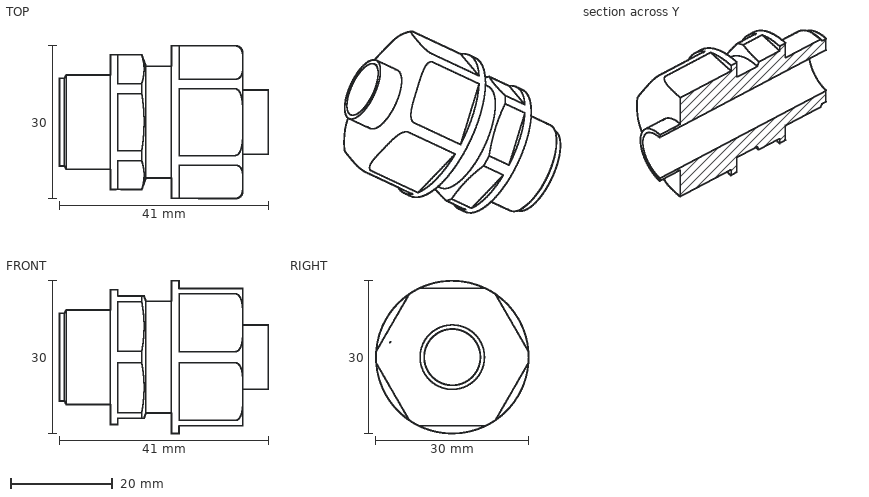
import cadquery as cq
import math

tip_end_x = 1.0
collar_start_x = 10.0
collar_width = 1.5
hex_end_x = 17.0
nut_start_x = 22.0
nut_end_x = 36.0
total_length = 41.0

bore_diameter = 11.0
tube_diameter = 12.65
tip_diameter = 17.26
thread_diameter = 18.6
neck_diameter = 22.0
collar_diameter = 26.5
nut_diameter = 30.0

hex_across_flats = 24.0
nut_across_flats = 27.0
corner_to_flat_angle = 30.0

thread_lead_angle = 30.0
hex_chamfer_angle = 20.0
nut_edge_radius = 1.45

overlap = 1.0


def cone_length(large_diameter, small_diameter, angle):
    """Axial length of a cone whose side leans from the end plane by the given angle in degrees."""
    return (large_diameter - small_diameter) / 2 * math.tan(math.radians(angle))


def cylinder(start_x, end_x, diameter):
    """Solid cylinder on the X axis."""
    return cq.Workplane("YZ", origin=(start_x, 0, 0)).circle(diameter / 2).extrude(end_x - start_x)


def cut_flats(body, start_x, end_x, across_flats, body_diameter):
    """Cut six wrench flats, two of them facing +Z and -Z, leaving the corners round."""
    length = end_x - start_x
    plane = cq.Workplane("YZ", origin=(start_x, 0, 0))
    hexagon = plane.polygon(6, across_flats, circumscribed=True).extrude(length)
    hexagon = hexagon.rotate((0, 0, 0), (1, 0, 0), corner_to_flat_angle)
    blank = plane.circle(body_diameter / 2 + overlap).extrude(length)
    return body.cut(blank.cut(hexagon))


def make_threaded_end():
    """Plain tip, then the thread envelope with its tapered lead-in."""
    tip = cylinder(0, tip_end_x + overlap, tip_diameter)
    lead = cone_length(thread_diameter, tip_diameter, thread_lead_angle)
    thread = cylinder(tip_end_x, collar_start_x + overlap, thread_diameter)
    thread = thread.faces("<X").chamfer(lead, (thread_diameter - tip_diameter) / 2)
    return tip.union(thread)


def make_hex_body():
    """Collar and chamfered hexagon, tapering down to the neck diameter."""
    taper = cone_length(collar_diameter, neck_diameter, hex_chamfer_angle)
    taper_start_x = hex_end_x - taper
    body = (
        cq.Workplane("XY")
        .moveTo(collar_start_x, 0)
        .lineTo(collar_start_x, collar_diameter / 2)
        .lineTo(taper_start_x, collar_diameter / 2)
        .lineTo(hex_end_x, neck_diameter / 2)
        .lineTo(hex_end_x, 0)
        .close()
        .revolve(360, (0, 0, 0), (1, 0, 0))
    )
    return cut_flats(body, collar_start_x + collar_width, hex_end_x, hex_across_flats, collar_diameter)


def make_nut():
    """Clamping nut: round flange, six flats and a rounded rear edge."""
    nut = cylinder(nut_start_x, nut_end_x, nut_diameter)
    nut = nut.faces(">X").edges().fillet(nut_edge_radius)
    return cut_flats(nut, nut_start_x + collar_width, nut_end_x, nut_across_flats, nut_diameter)


neck = cylinder(hex_end_x - overlap, nut_start_x + overlap, neck_diameter)
tube = cylinder(nut_end_x - overlap, total_length, tube_diameter)
bore = cylinder(0, total_length, bore_diameter)

result = make_threaded_end().union(make_hex_body()).union(neck).union(make_nut()).union(tube).cut(bore)